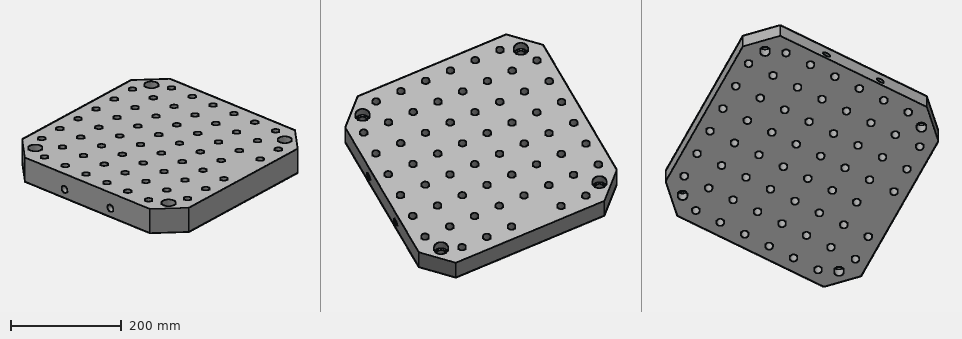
import cadquery as cq
import math

side = 400.0
thickness = 50.0
corner_cut = 50.0

pitch = 50.0
grid_count = 8
grid_hole_diameter = 14.0
short_row = 4

mount_offset = 160.0
mount_diameter = 18.0
counterbore_diameter = 26.0
counterbore_depth = 20.0

side_hole_spacing = 110.0
side_hole_height = 18.0
side_hole_diameter = 14.0
side_hole_depth = 30.0
drill_tip_angle = 118.0


def make_plate():
    block = cq.Workplane("XY").rect(side, side).extrude(thickness)
    return block.edges("|Z").chamfer(corner_cut)


def grid_points():
    """Square grid without its four corners and the +X end of the short row."""
    last = grid_count - 1
    points = []
    for row in range(grid_count):
        for column in range(grid_count):
            at_corner = column in (0, last) and row in (0, last)
            at_short_end = column == last and row == short_row
            if at_corner or at_short_end:
                continue
            points.append(((column - last / 2) * pitch, (row - last / 2) * pitch))
    return points


def cut_grid_holes(body):
    top = body.faces(">Z").workplane(origin=(0, 0, thickness))
    return top.pushPoints(grid_points()).hole(grid_hole_diameter)


def cut_mount_holes(body):
    top = body.faces(">Z").workplane(origin=(0, 0, thickness))
    corners = top.rect(2 * mount_offset, 2 * mount_offset, forConstruction=True).vertices()
    return corners.cboreHole(mount_diameter, counterbore_diameter, counterbore_depth)


def cut_side_holes(body):
    """Drill along +Y, each hole ending in a conical tip."""
    radius = side_hole_diameter / 2
    tip_length = radius / math.tan(math.radians(drill_tip_angle / 2))
    inward = cq.Vector(0, 1, 0)
    for x in (-side_hole_spacing / 2, side_hole_spacing / 2):
        mouth = cq.Vector(x, -side / 2, side_hole_height)
        shank = cq.Solid.makeCylinder(radius, side_hole_depth, mouth, inward)
        tip = cq.Solid.makeCone(radius, 0, tip_length, mouth + inward * side_hole_depth, inward)
        body = body.cut(cq.Workplane(shank)).cut(cq.Workplane(tip))
    return body


plate = make_plate()
plate = cut_grid_holes(plate)
plate = cut_mount_holes(plate)
result = cut_side_holes(plate)